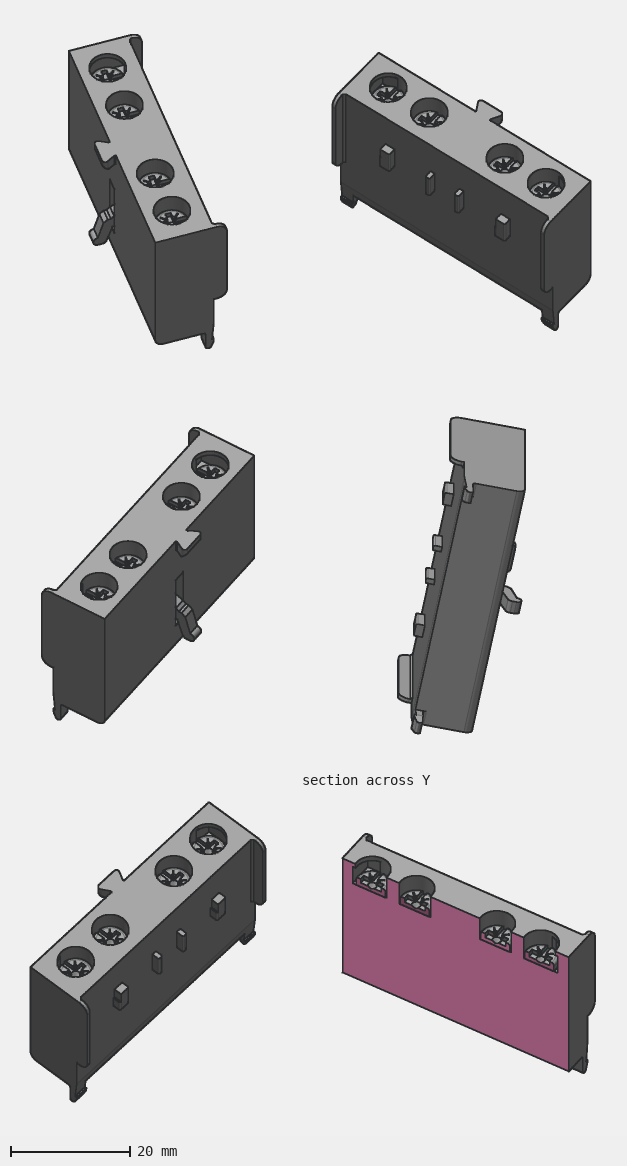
import cadquery as cq


LENGTH = 45.0
HEIGHT = 26.4
DEPTH = 10.4
BOTTOM_RADIUS = 1.5
TAPER_START = 2.0
TAPER_END_Y = 10.05

PLATE_BACK = 12.75
PLATE_BOTTOM = 8.1
PLATE_THICKNESS = 0.7
PLATE_RADIUS = 1.8
PLATE_ROOT_CHAMFER = 0.35

LEG_BOTTOM = -4.1
LEG_FRONT = 8.9
LEG_WIDTH = 2.48
LEG_TIP_WIDTH = 2.0
LEG_ROOT_RADIUS = 0.5
LEG_TIP_RADIUS = 0.5
HOOK_TOP = -2.02
HOOK_BOTTOM = -2.55
HOOK_TIP_Y = 9.8

TAB_X = 0.45
TAB_REACH = 2.55
TAB_HEIGHT = 2.2
TAB_NECK_WIDTH = 3.1
TAB_NECK_LENGTH = 0.25
TAB_OVERLAP = 0.45
TAB_WIDTH = 5.65
TAB_RADIUS = 0.55
TAB_CHAMFER = 1.05

SLOT_WIDTH = 2.35
SLOT_BOTTOM = 5.62
SLOT_TOP = 16.85
SLOT_DEPTH = 2.45
LINTEL_BOTTOM = 15.8
LINTEL_RECESS = 1.6

LATCH_WIDTH = 2.15
ROOT_TOP = 11.0
ROOT_BOTTOM = 7.25
BEND_POINTS = [(0, 9.9), (-0.6, 9.35), (-1.12, 9.35), (-1.9, 8.78), (-2.9, 5.35)]
ARM_BACK_Y = -0.25
BULB_RADIUS = 0.9
BULB_Y = -2.8
BULB_Z = 4.45
HEEL_Y = -1.55
HEEL_RADIUS = 0.8

ROW_X = -0.1

PEG_LENGTH = 1.5
PEG_HEIGHT = 4.5
PEG_TIP_RADIUS = 0.25
PEG_LEDGE_WIDTH = 0.25
PEG_LEDGE_DROP = 2.25
WIDE_PEG_WIDTH = 2.2
WIDE_PEG_X = 12.25
NARROW_PEG_WIDTH = 0.9
NARROW_PEG_X = 3.05
PEG_Z = (HEIGHT + PLATE_BOTTOM) / 2

OUTER_SCREW_X = 16.75
INNER_SCREW_X = 8.0
SCREW_Y = 4.95
HOLE_RADIUS = 3.1
HEAD_DROP = 2.92
HEAD_HEIGHT = 1.8
HOLE_FLOOR = HEIGHT - HEAD_DROP - HEAD_HEIGHT
CHAMBER_DROP = 1.0
CHAMBER_INNER = 0.35
CHAMBER_OUTER = 3.6
CHAMBER_BACK = 4.25

HEAD_RADIUS = 2.95
HEAD_EDGE_RADIUS = 0.55
DRIVE_WIDTH = 0.95
DRIVE_DEPTH = 0.9
CROSS_LENGTH = 4.0
SOCKET_WIDTH = 2.15
CONE_RADIUS = 0.75
CONE_DEPTH = 0.68
TICK_LENGTH = 4.25
TICK_WIDTH = 0.2
TICK_DEPTH = 0.55


def box(x_range, y_range, z_range):
    """Box between pairs of X, Y and Z limits."""
    lows = (x_range[0], y_range[0], z_range[0])
    sizes = (x_range[1] - x_range[0], y_range[1] - y_range[0], z_range[1] - z_range[0])
    return cq.Workplane("XY").box(*sizes, centered=False).translate(lows)


def side_profile(x):
    """Workplane whose sketch coordinates are Y and Z, extruding toward +X from x."""
    return cq.Workplane("YZ", origin=(x, 0, 0))


def block():
    """Main block, with a rounded lower front edge and a leaning lower back."""
    lean = (DEPTH - TAPER_END_Y) * TAPER_START / (TAPER_START - HOOK_TOP)
    outline = [(0, 0), (DEPTH - lean, 0), (DEPTH, TAPER_START), (DEPTH, HEIGHT), (0, HEIGHT)]
    solid = side_profile(-LENGTH / 2).polyline(outline).close().extrude(LENGTH)
    return solid.edges("<Y and <Z").fillet(BOTTOM_RADIUS)


def end_plate():
    """Left end plate, with a chamfered strip where it meets the back face."""
    left = -LENGTH / 2
    inner = left + PLATE_THICKNESS
    root = inner + PLATE_ROOT_CHAMFER
    outline = [
        (left, DEPTH - PLATE_RADIUS),
        (root, DEPTH - PLATE_RADIUS),
        (root, DEPTH),
        (inner, DEPTH + PLATE_ROOT_CHAMFER),
        (inner, PLATE_BACK),
        (left, PLATE_BACK),
    ]
    plate = (
        cq.Workplane("XY", origin=(0, 0, PLATE_BOTTOM))
        .polyline(outline).close().extrude(HEIGHT - PLATE_BOTTOM)
    )
    return plate.edges(">Y and |X").fillet(PLATE_RADIUS)


def leg():
    """Left snap leg: hooked side profile, narrowed toward its tip."""
    left = -LENGTH / 2
    hook = [
        (LEG_FRONT, TAPER_START),
        (DEPTH, TAPER_START),
        (TAPER_END_Y, HOOK_TOP),
        (DEPTH, HOOK_TOP),
        (DEPTH, HOOK_BOTTOM),
        (HOOK_TIP_Y, LEG_BOTTOM),
        (LEG_FRONT, LEG_BOTTOM),
    ]
    solid = side_profile(left).polyline(hook).close().extrude(LEG_WIDTH)
    solid = solid.edges("|X and <Z").fillet(LEG_TIP_RADIUS)
    root_fillet = (
        side_profile(left)
        .moveTo(LEG_FRONT, 0)
        .lineTo(LEG_FRONT, -LEG_ROOT_RADIUS)
        .radiusArc((LEG_FRONT - LEG_ROOT_RADIUS, 0), -LEG_ROOT_RADIUS)
        .close().extrude(LEG_WIDTH)
    )
    trim = (
        cq.Workplane("XZ", origin=(0, DEPTH, 0))
        .polyline([
            (left + LEG_WIDTH, HOOK_TOP),
            (left + LEG_TIP_WIDTH, LEG_BOTTOM),
            (left + LEG_WIDTH, LEG_BOTTOM),
        ])
        .close().extrude(DEPTH)
    )
    return solid.union(root_fillet).cut(trim)


def tab():
    """Dovetail tab, wider at its free end, chamfered underneath."""
    neck = TAB_NECK_WIDTH / 2
    wide = TAB_WIDTH / 2
    outline = [
        (-neck, TAB_OVERLAP), (-neck, -TAB_NECK_LENGTH), (-wide, -TAB_REACH),
        (wide, -TAB_REACH), (neck, -TAB_NECK_LENGTH), (neck, TAB_OVERLAP),
    ]
    bottom = HEIGHT - TAB_HEIGHT
    solid = (
        cq.Workplane("XY", origin=(TAB_X, 0, bottom))
        .polyline(outline).close().extrude(TAB_HEIGHT)
        .edges("|Z and <Y").fillet(TAB_RADIUS)
    )
    wedge = (
        side_profile(TAB_X - wide)
        .polyline([
            (-TAB_REACH, bottom),
            (-TAB_REACH + TAB_CHAMFER, bottom),
            (-TAB_REACH, bottom + TAB_CHAMFER),
        ])
        .close().extrude(TAB_WIDTH)
    )
    return solid.cut(wedge)


def latch_slot():
    """Slot cut into the front face, shallower above the lintel's lower edge."""
    width = (-SLOT_WIDTH / 2, SLOT_WIDTH / 2)
    deep = box(width, (0, SLOT_DEPTH), (SLOT_BOTTOM, LINTEL_BOTTOM))
    return deep.union(box(width, (0, LINTEL_RECESS), (LINTEL_BOTTOM, SLOT_TOP)))


def latch():
    """Bent latch arm ending in a round bulb."""
    arm = (
        side_profile(-LATCH_WIDTH / 2)
        .polyline([
            (SLOT_DEPTH, ROOT_BOTTOM),
            (SLOT_DEPTH, ROOT_TOP),
            *BEND_POINTS,
        ])
        .threePointArc((BULB_Y - BULB_RADIUS, BULB_Z), (BULB_Y, BULB_Z - BULB_RADIUS))
        .lineTo(HEEL_Y, BULB_Z - BULB_RADIUS)
        .lineTo(ARM_BACK_Y, ROOT_BOTTOM)
        .close().extrude(LATCH_WIDTH)
    )
    heel = cq.selectors.NearestToPointSelector((0, HEEL_Y, BULB_Z - BULB_RADIUS))
    return arm.edges("|X").edges(heel).fillet(HEEL_RADIUS)


def peg(x, width):
    """Contact peg on the back face with rounded tip corners."""
    solid = box(
        (x - width / 2, x + width / 2),
        (DEPTH, DEPTH + PEG_LENGTH),
        (PEG_Z - PEG_HEIGHT / 2, PEG_Z + PEG_HEIGHT / 2),
    )
    return solid.edges("|Z and >Y").fillet(PEG_TIP_RADIUS)


def wide_peg(x):
    """Wide contact peg with a ledge along its +X side."""
    side = x + WIDE_PEG_WIDTH / 2
    top = PEG_Z + PEG_HEIGHT / 2
    ledge = box(
        (side - PEG_LEDGE_WIDTH, side),
        (DEPTH, DEPTH + PEG_LENGTH),
        (top - PEG_LEDGE_DROP, top),
    )
    return peg(x, WIDE_PEG_WIDTH).cut(ledge)


def screw_hole(x):
    """Blind round hole down from the housing top."""
    return (
        cq.Workplane("XY", origin=(x, SCREW_Y, HOLE_FLOOR))
        .circle(HOLE_RADIUS).extrude(HEIGHT - HOLE_FLOOR)
    )


def terminal_chamber(side):
    """Chamber beside the outer hole on one side (-1 or 1), open to the hole below its collar."""
    limits = (OUTER_SCREW_X + CHAMBER_INNER, OUTER_SCREW_X + CHAMBER_OUTER)
    return box(
        sorted(ROW_X + side * limit for limit in limits),
        (SCREW_Y - HOLE_RADIUS, SCREW_Y + CHAMBER_BACK),
        (HOLE_FLOOR, HEIGHT - CHAMBER_DROP),
    )


SCREW_OFFSETS = (-OUTER_SCREW_X, -INNER_SCREW_X, INNER_SCREW_X, OUTER_SCREW_X)
SCREW_XS = [ROW_X + offset for offset in SCREW_OFFSETS]


def make_housing():
    body = block()
    for part in (end_plate(), leg()):
        body = body.union(part).union(part.mirror("YZ"))
    for side in (-1, 1):
        body = body.union(wide_peg(ROW_X + side * WIDE_PEG_X))
        body = body.union(peg(ROW_X + side * NARROW_PEG_X, NARROW_PEG_WIDTH))
    body = body.union(tab()).cut(latch_slot()).union(latch())
    for x in SCREW_XS:
        body = body.cut(screw_hole(x))
    for side in (-1, 1):
        body = body.cut(terminal_chamber(side))
    return body


def make_screw(x):
    """Screw head seated on the hole floor, with its drive recess."""
    top = HEAD_HEIGHT
    head = cq.Workplane("XY").circle(HEAD_RADIUS).extrude(top)
    head = head.faces(">Z").edges().fillet(HEAD_EDGE_RADIUS)

    top_plane = cq.Workplane("XY", origin=(0, 0, top))
    slot = top_plane.rect(DRIVE_WIDTH, 2 * HEAD_RADIUS).extrude(-DRIVE_DEPTH)
    cross = top_plane.rect(CROSS_LENGTH, DRIVE_WIDTH).extrude(-DRIVE_DEPTH)
    socket = (
        top_plane.rect(SOCKET_WIDTH, SOCKET_WIDTH)
        .workplane(offset=-DRIVE_DEPTH).rect(DRIVE_WIDTH, DRIVE_WIDTH).loft()
    )
    cone = cq.Workplane(
        cq.Solid.makeCone(
            CONE_RADIUS, 0, CONE_DEPTH,
            pnt=cq.Vector(0, 0, top - DRIVE_DEPTH), dir=cq.Vector(0, 0, -1),
        )
    )
    head = head.cut(slot).cut(cross).cut(socket).cut(cone)
    for angle in (45, 135):
        tick = top_plane.rect(TICK_LENGTH, TICK_WIDTH).extrude(-TICK_DEPTH)
        head = head.cut(tick.rotate((0, 0, 0), (0, 0, 1), angle))
    return head.translate((x, SCREW_Y, HOLE_FLOOR))


housing = make_housing()
screws = [make_screw(x) for x in SCREW_XS]

result = cq.Compound.makeCompound([housing.val(), *[screw.val() for screw in screws]])